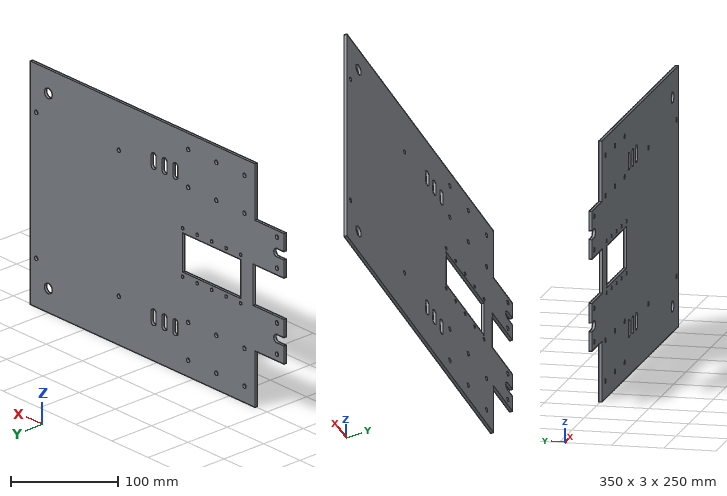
import cadquery as cq

LENGTH = 350.0
HEIGHT = 250.0
THICKNESS = 3.0

SCREW_HOLE_DIAMETER = 4.2

TAB_LENGTH = 40.0
TAB_HEIGHT = 46.0
TAB_Z = 44.0
RECESS_DEPTH = 42.5

TAB_SLOT_WIDTH = 8.5
TAB_HOLE_X = 9.8
TAB_HOLE_SPACING = 32.0

MOUNT_FIRST_X = 54.5
MOUNT_PITCH = 39.0
MOUNT_COLUMNS = 3
MOUNT_ROWS = 2
MOUNT_INNER_Z = 69.3

WINDOW_X = 60.0
WINDOW_LENGTH = 80.0
WINDOW_HEIGHT = 40.0
WINDOW_HOLE_DIAMETER = 3.0
WINDOW_HOLE_COUNT = 5
WINDOW_HOLE_Z = 25.0

SLOT_FIRST_X = 149.8
SLOT_PITCH = 15.0
SLOT_COUNT = 3
SLOT_Z = 80.0
SLOT_WIDTH = 6.5
SLOT_HEIGHT = 16.8

CORNER_HOLE_XS = (228.0, 342.0)
CORNER_HOLE_Z = 75.0

LARGE_HOLE_DIAMETER = 10.5
LARGE_HOLE_X = 325.0
LARGE_HOLE_Z = 100.0

SIDES = (-1, 1)


def block(x_start, length, z_center, height):
    """Rectangular block through the plate thickness."""
    return (
        cq.Workplane("XZ")
        .center(x_start + length / 2, z_center)
        .rect(length, height)
        .extrude(THICKNESS / 2, both=True)
    )


def holes(points, diameter):
    """Round cutters through the plate thickness."""
    return (
        cq.Workplane("XZ")
        .pushPoints(points)
        .circle(diameter / 2)
        .extrude(THICKNESS / 2, both=True)
    )


def mirrored(xs, z):
    """Points at every X, both above and below the centre line."""
    return [(x, side * z) for x in xs for side in SIDES]


def row(first, pitch, count):
    return [first + i * pitch for i in range(count)]


def plate_blank():
    blank = block(TAB_LENGTH, LENGTH - TAB_LENGTH, 0, HEIGHT)
    for side in SIDES:
        blank = blank.union(block(0, TAB_LENGTH, side * TAB_Z, TAB_HEIGHT))
    recess_height = 2 * TAB_Z - TAB_HEIGHT
    return blank.cut(block(0, RECESS_DEPTH, 0, recess_height))


def cut_tab_features(plate):
    for side in SIDES:
        z = side * TAB_Z
        plate = plate.cut(block(0, TAB_HOLE_X, z, TAB_SLOT_WIDTH))
        plate = plate.cut(holes([(TAB_HOLE_X, z)], TAB_SLOT_WIDTH))
        tab_holes = [(TAB_HOLE_X, z + end * TAB_HOLE_SPACING / 2) for end in SIDES]
        plate = plate.cut(holes(tab_holes, SCREW_HOLE_DIAMETER))
    return plate


def cut_mount_holes(plate):
    xs = row(MOUNT_FIRST_X, MOUNT_PITCH, MOUNT_COLUMNS)
    for z in row(MOUNT_INNER_Z, MOUNT_PITCH, MOUNT_ROWS):
        plate = plate.cut(holes(mirrored(xs, z), SCREW_HOLE_DIAMETER))
    return plate


def cut_window(plate):
    plate = plate.cut(block(WINDOW_X, WINDOW_LENGTH, 0, WINDOW_HEIGHT))
    pitch = WINDOW_LENGTH / (WINDOW_HOLE_COUNT - 1)
    xs = row(WINDOW_X, pitch, WINDOW_HOLE_COUNT)
    return plate.cut(holes(mirrored(xs, WINDOW_HOLE_Z), WINDOW_HOLE_DIAMETER))


def cut_slots(plate):
    xs = row(SLOT_FIRST_X, SLOT_PITCH, SLOT_COUNT)
    slots = (
        cq.Workplane("XZ")
        .pushPoints(mirrored(xs, SLOT_Z))
        .slot2D(SLOT_HEIGHT, SLOT_WIDTH, 90)
        .extrude(THICKNESS / 2, both=True)
    )
    return plate.cut(slots)


def cut_right_hand_holes(plate):
    plate = plate.cut(holes(mirrored(CORNER_HOLE_XS, CORNER_HOLE_Z), SCREW_HOLE_DIAMETER))
    return plate.cut(holes(mirrored([LARGE_HOLE_X], LARGE_HOLE_Z), LARGE_HOLE_DIAMETER))


plate = plate_blank()
plate = cut_tab_features(plate)
plate = cut_mount_holes(plate)
plate = cut_window(plate)
plate = cut_slots(plate)
result = cut_right_hand_holes(plate)